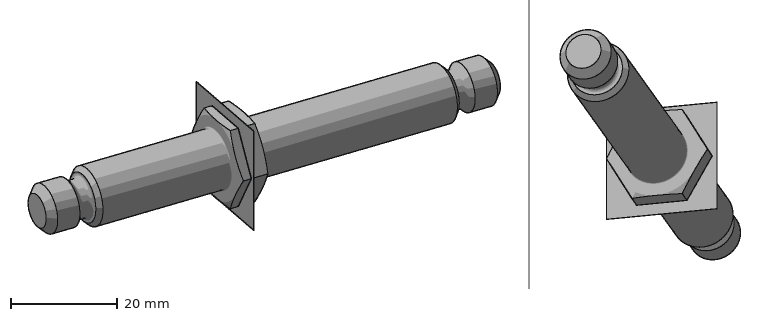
import cadquery as cq
import math

LENGTH = 99.0
BODY_RADIUS = 12.0 / 2
HEAD_RADIUS = 10.0 / 2
NECK_RADIUS = 7.7 / 2
HEAD_CHAMFER = 1.6
HEAD_LENGTH = 6.4
SHOULDER_DEPTH = 9.9
SHOULDER_CHAMFER = 1.0
NECK_FILLET = 0.8

HEX_FLATS = 17.0
HEX_FRONT_Y = -10.6
HEX_BACK_Y = -4.6
HEX_FILLET = 0.3
HEX_CHAMFER_ANGLE = math.radians(15)
RIM_CLEARANCE = 1.0

PLATE_SIZE = 21.6
PLATE_THICKNESS = 0.1
PLATE_Y = -8.5


def make_end(side):
    """Head, neck and shoulder chamfer; side is +1 or -1 along Y."""
    diagonal = math.sqrt(0.5)
    cone_end_radius = NECK_RADIUS + NECK_FILLET * (1 - diagonal)
    cone_end = HEAD_LENGTH + HEAD_RADIUS - cone_end_radius
    neck_start = cone_end + NECK_FILLET * diagonal
    neck_end = SHOULDER_DEPTH - NECK_FILLET
    cone_arc_radius = NECK_RADIUS + NECK_FILLET * (1 - math.cos(math.pi / 8))
    cone_arc_depth = neck_start - NECK_FILLET * math.sin(math.pi / 8)
    root_arc_radius = NECK_RADIUS + NECK_FILLET * (1 - diagonal)
    root_arc_depth = neck_end + NECK_FILLET * diagonal

    def point(radius, depth):
        return radius, side * (LENGTH / 2 - depth)

    profile = (
        cq.Workplane("XY")
        .moveTo(*point(0, 0))
        .lineTo(*point(HEAD_RADIUS - HEAD_CHAMFER, 0))
        .lineTo(*point(HEAD_RADIUS, HEAD_CHAMFER))
        .lineTo(*point(HEAD_RADIUS, HEAD_LENGTH))
        .lineTo(*point(cone_end_radius, cone_end))
        .threePointArc(point(cone_arc_radius, cone_arc_depth), point(NECK_RADIUS, neck_start))
        .lineTo(*point(NECK_RADIUS, neck_end))
        .threePointArc(
            point(root_arc_radius, root_arc_depth),
            point(NECK_RADIUS + NECK_FILLET, SHOULDER_DEPTH),
        )
        .lineTo(*point(BODY_RADIUS - SHOULDER_CHAMFER, SHOULDER_DEPTH))
        .lineTo(*point(BODY_RADIUS, SHOULDER_DEPTH + SHOULDER_CHAMFER))
        .lineTo(*point(0, SHOULDER_DEPTH + SHOULDER_CHAMFER))
        .close()
    )
    return profile.revolve(360, (0, 0, 0), (0, 1, 0))


def make_body():
    """Plain cylinder between the two shoulder chamfers."""
    half_length = LENGTH / 2 - SHOULDER_DEPTH - SHOULDER_CHAMFER
    return (
        cq.Workplane("XZ", origin=(0, half_length, 0))
        .circle(BODY_RADIUS)
        .extrude(2 * half_length)
    )


def make_fillet(face_y, outward):
    """Concave ring on a hexagon face; outward is +1 or -1 along Y."""
    arc_offset = HEX_FILLET * (1 - math.sqrt(0.5))
    return (
        cq.Workplane("XY")
        .moveTo(0, face_y)
        .lineTo(BODY_RADIUS + HEX_FILLET, face_y)
        .threePointArc(
            (BODY_RADIUS + arc_offset, face_y + outward * arc_offset),
            (BODY_RADIUS, face_y + outward * HEX_FILLET),
        )
        .lineTo(0, face_y + outward * HEX_FILLET)
        .close()
        .revolve(360, (0, 0, 0), (0, 1, 0))
    )


def make_collar():
    """Hexagon with both faces turned down conically at the corners."""
    flat_radius = HEX_FLATS / 2
    corner_radius = flat_radius / math.cos(math.pi / 6)
    rim_radius = corner_radius + RIM_CLEARANCE
    drop = (rim_radius - flat_radius) * math.tan(HEX_CHAMFER_ANGLE)
    hexagon = (
        cq.Workplane("XZ", origin=(0, HEX_BACK_Y, 0))
        .polygon(6, 2 * corner_radius)
        .extrude(HEX_BACK_Y - HEX_FRONT_Y)
    )
    envelope = (
        cq.Workplane("XY")
        .polyline([
            (0, HEX_FRONT_Y),
            (flat_radius, HEX_FRONT_Y),
            (rim_radius, HEX_FRONT_Y + drop),
            (rim_radius, HEX_BACK_Y - drop),
            (flat_radius, HEX_BACK_Y),
            (0, HEX_BACK_Y),
        ])
        .close()
        .revolve(360, (0, 0, 0), (0, 1, 0))
    )
    return hexagon.intersect(envelope)


def make_plate():
    return cq.Workplane("XY").box(PLATE_SIZE, PLATE_THICKNESS, PLATE_SIZE).translate((0, PLATE_Y, 0))


result = make_body()
for end_side in (1, -1):
    result = result.union(make_end(end_side))
result = result.union(make_collar())
result = result.union(make_fillet(HEX_BACK_Y, 1))
result = result.union(make_fillet(HEX_FRONT_Y, -1))
result = result.union(make_plate())